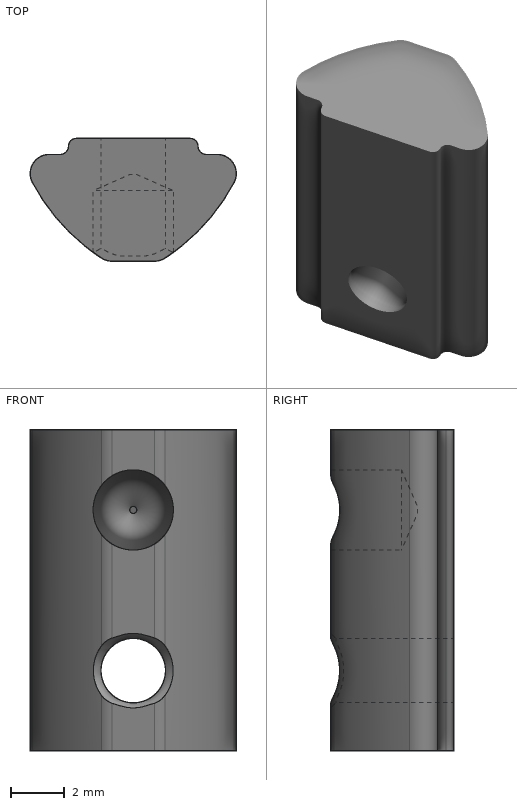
import cadquery as cq
import math

length = 12.0
width = 7.7
depth = 4.6

rail_half_width = 2.42
rail_height = 0.6
step_radius = rail_height / 2
ear_radius = 0.72
ear_end_angle = math.radians(28)
front_flat_half_width = 0.79
flank_end_x = 1.19
flank_end_setback = 0.12

hole_offset = length / 4
through_diameter = 2.4

bevel_radius_z = 1.39
bevel_slope_z = 1.0
bevel_radius_x = 2.08
bevel_slope_x = 1.8
bevel_end_depth = 0.6
bevel_overshoot = 0.12
bevel_blend_power = 4
bevel_curve_points = 64

blind_diameter = 3.0
blind_wall_depth = 2.64
tip_diameter = 0.26
tip_depth = 0.6


def half_profile():
    """Right half of the section, open along the symmetry line."""
    ear_x = width / 2 - ear_radius
    ear_y = -rail_height - ear_radius
    diagonal = ear_radius * math.sqrt(0.5)
    ear_end = (
        ear_x + ear_radius * math.cos(ear_end_angle),
        ear_y - ear_radius * math.sin(ear_end_angle),
    )
    return (
        cq.Workplane("XY")
        .lineTo(rail_half_width - step_radius, 0)
        .tangentArcPoint((rail_half_width, -step_radius), relative=False)
        .tangentArcPoint((rail_half_width + step_radius, -rail_height), relative=False)
        .lineTo(ear_x, -rail_height)
        .threePointArc((ear_x + diagonal, ear_y + diagonal), (width / 2, ear_y))
        .tangentArcPoint(ear_end, relative=False)
        .tangentArcPoint((flank_end_x, flank_end_setback - depth), relative=False)
        .tangentArcPoint((front_flat_half_width, -depth), relative=False)
        .lineTo(0, -depth)
    )


def bore(diameter, z, bore_depth):
    """Cylinder running in +Y from the front flat."""
    return cq.Workplane(
        cq.Solid.makeCylinder(diameter / 2, bore_depth, cq.Vector(0, -depth, z), cq.Vector(0, 1, 0))
    )


def blind_tip(z):
    """Tapered bottom of the blind hole, ending in a small flat."""
    return cq.Workplane(
        cq.Solid.makeCone(
            blind_diameter / 2,
            tip_diameter / 2,
            tip_depth,
            cq.Vector(0, blind_wall_depth - depth, z),
            cq.Vector(0, 1, 0),
        )
    )


def bevel_section(bevel_depth):
    """Closed outline of the rim bevel at a depth behind the front flat.

    The bevel is flatter and wider along X, where the rim runs onto the sloping flanks.
    """

    def outline_point(t):
        angle = 2 * math.pi * t
        flank_share = math.cos(angle) ** bevel_blend_power
        radius = bevel_radius_z + (bevel_radius_x - bevel_radius_z) * flank_share
        slope = bevel_slope_z + (bevel_slope_x - bevel_slope_z) * flank_share
        radius -= slope * bevel_depth
        return (radius * math.cos(angle), radius * math.sin(angle))

    plane = cq.Plane((0, bevel_depth - depth, hole_offset), xDir=(1, 0, 0), normal=(0, -1, 0))
    return cq.Workplane(plane).parametricCurve(outline_point, N=bevel_curve_points).val()


def rim_bevel():
    """Tapered cutter that bevels the front rim of the through hole."""
    return cq.Workplane(
        cq.Solid.makeLoft(
            [bevel_section(-bevel_overshoot), bevel_section(bevel_end_depth)],
            True,
        )
    )


body = half_profile().mirrorY().extrude(length)

body = body.cut(bore(through_diameter, hole_offset, depth))
body = body.cut(rim_bevel())

blind_z = length - hole_offset
body = body.cut(bore(blind_diameter, blind_z, blind_wall_depth))
result = body.cut(blind_tip(blind_z))